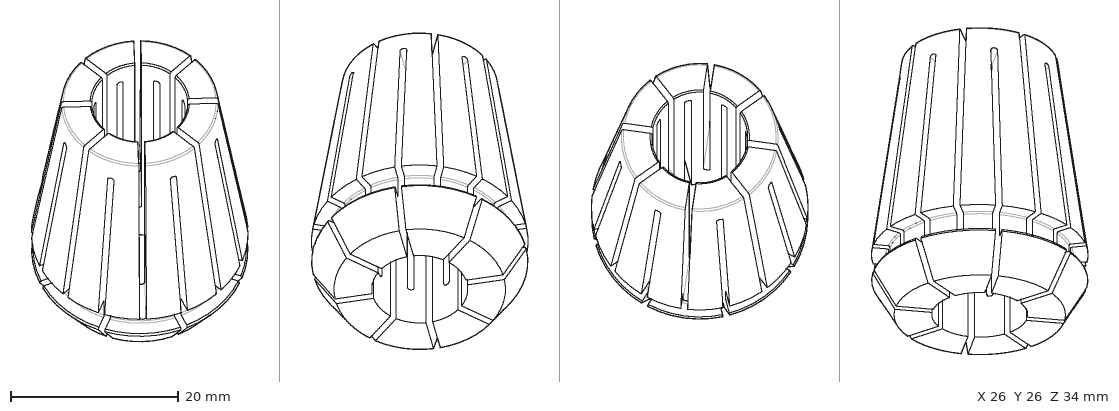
import cadquery as cq
import math

height = 34.0
max_radius = 13.0
bore_radius = 11.5 / 2
taper_angle = math.radians(8)
flange_angle = math.radians(30)

flange_top = 4.95
flange_radius = 12.95
flange_edge_fall = 0.3
flange_edge_inset = 0.17
groove_top = 8.1
groove_radius = 11.0
groove_fillet = 0.2

nose_fillet = 0.25
bore_bevel = 0.2

slot_count = 8
slot_width = 0.8
lower_slot_end = 31.08
upper_slot_end = 5.47
slot_pitch = 360 / slot_count


def taper_radius(z):
    """Radius of the long outer taper at height z."""
    return max_radius - (z - groove_top) * math.tan(taper_angle)


def make_body():
    """Revolve the collet's half section, bore included, about Z."""
    flange_rim = flange_top - flange_edge_fall
    base_radius = flange_radius - flange_rim * math.tan(flange_angle)
    section = [
        (bore_radius, 0),
        (base_radius, 0),
        (flange_radius, flange_rim),
        (flange_radius - flange_edge_inset, flange_top),
        (groove_radius, flange_top),
        (groove_radius, groove_top),
        (max_radius, groove_top),
        (taper_radius(height), height),
        (bore_radius + bore_bevel, height),
        (bore_radius, height - bore_bevel),
    ]
    body = cq.Workplane("XZ").polyline(section).close().revolve(360, (0, 0), (0, 1))
    nose_edge = cq.selectors.RadiusNthSelector(-1)
    body = body.faces(">Z").edges(nose_edge).fillet(nose_fillet)

    groove_zone = cq.selectors.BoxSelector(
        (-max_radius, -max_radius, flange_top - groove_fillet),
        (max_radius, max_radius, groove_top + groove_fillet),
    )
    groove_corners = cq.selectors.RadiusNthSelector(0)
    return body.edges(groove_zone).edges("%CIRCLE").edges(groove_corners).fillet(groove_fillet)


def make_slot(open_z, end_z, angle):
    """Radial slot open at open_z, with a fully rounded end at end_z."""
    half_width = slot_width / 2
    toward_end = math.copysign(1, end_z - open_z)
    arc_start = end_z - toward_end * half_width
    reach = 2 * max_radius
    slot = (
        cq.Workplane("YZ")
        .moveTo(-half_width, open_z)
        .lineTo(-half_width, arc_start)
        .threePointArc((0, end_z), (half_width, arc_start))
        .lineTo(half_width, open_z)
        .close()
        .extrude(reach)
    )
    return slot.rotate((0, 0, 0), (0, 0, 1), angle)


result = make_body()
for index in range(slot_count):
    lower_angle = index * slot_pitch
    upper_angle = lower_angle + slot_pitch / 2
    result = result.cut(make_slot(0, lower_slot_end, lower_angle))
    result = result.cut(make_slot(height, upper_slot_end, upper_angle))